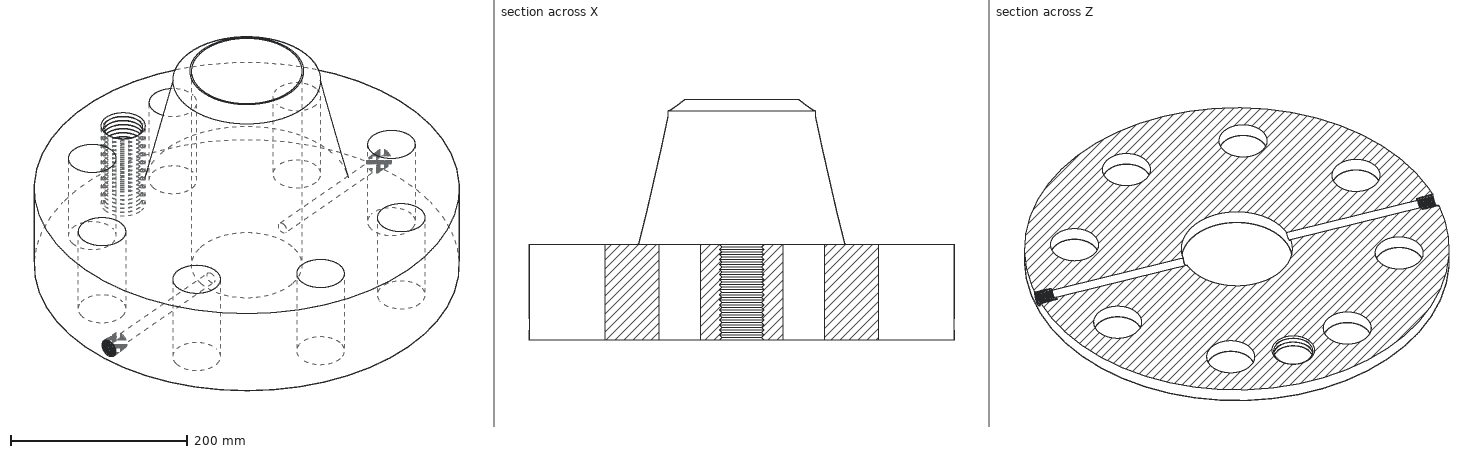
import cadquery as cq

flange_diameter = 482.5
flange_thickness = 108.5
total_height = 273.0

hub_base_radius = 117.5
hub_fillet_radius = 2.5
collar_radius = 84.0
collar_bottom = 253.5
collar_top = 260.0
bevel_bottom = 261.0
bevel_bottom_radius = 81.0
bevel_top_radius = 64.5
bore_radius = 62.5

bolt_count = 8
bolt_hole_diameter = 54.0
bolt_circle_radius = 184.5

jack_major_radius = 25.0
jack_thread_height = 3.0
jack_thread_turns = 19

tap_height = 17.5
tap_major_radius = 10.5
tap_thread_height = 1.5
tap_pitch = 1.85
tap_thread_turns = 11
tap_taper = 1 / 32
tap_hole_diameter = 12.5

flange_radius = flange_diameter / 2


def make_body():
    """Disc and hub revolved about Z, with a small fillet where they meet."""
    outline = [
        (0, 0),
        (flange_radius, 0),
        (flange_radius, flange_thickness),
        (hub_base_radius, flange_thickness),
        (collar_radius, collar_bottom),
        (collar_radius, collar_top),
        (bevel_bottom_radius, bevel_bottom),
        (bevel_top_radius, total_height),
        (0, total_height),
    ]
    body = cq.Workplane("XZ").polyline(outline).close().revolve(360, (0, 0), (0, 1))
    hub_foot = cq.selectors.RadiusNthSelector(-2)
    return body.edges("%CIRCLE").edges(hub_foot).fillet(hub_fillet_radius)


def thread_cutter(major_radius, thread_height, pitch, turns, taper=0.0):
    """Solid of V-shaped rings standing on the XY plane and narrowing along +Z."""
    profile = [(0, 0)]
    for turn in range(turns):
        root_depth = turn * pitch
        crest_depth = root_depth + pitch / 2
        profile.append((major_radius - taper * root_depth, root_depth))
        profile.append((major_radius - thread_height - taper * crest_depth, crest_depth))
    length = turns * pitch
    profile.append((major_radius - taper * length, length))
    profile.append((0, length))
    return cq.Workplane("XZ").polyline(profile).close().revolve(360, (0, 0), (0, 1))


def make_bolt_holes():
    half_step = 180 / bolt_count
    return (
        cq.Workplane("XY")
        .polarArray(bolt_circle_radius, half_step, 360, bolt_count)
        .circle(bolt_hole_diameter / 2)
        .extrude(flange_thickness)
    )


def make_jack_hole():
    pitch = flange_thickness / jack_thread_turns
    cutter = thread_cutter(jack_major_radius, jack_thread_height, pitch, jack_thread_turns)
    return cutter.rotate((0, 0, 0), (1, 0, 0), 180).translate((-bolt_circle_radius, 0, flange_thickness))


def make_tap(angle):
    """One pressure tap entering from the rim at -Y, turned about Z by the given angle."""
    hole = cq.Workplane("XY").circle(tap_hole_diameter / 2).extrude(flange_radius)
    mouth = thread_cutter(tap_major_radius, tap_thread_height, tap_pitch, tap_thread_turns, tap_taper)
    tap = mouth.union(hole).rotate((0, 0, 0), (1, 0, 0), -90)
    return tap.translate((0, -flange_radius, tap_height)).rotate((0, 0, 0), (0, 0, 1), angle)


result = make_body()
result = result.cut(cq.Workplane("XY").circle(bore_radius).extrude(total_height))
result = result.cut(make_bolt_holes())
result = result.cut(make_jack_hole())
for tap_angle in (0, 180):
    result = result.cut(make_tap(tap_angle))